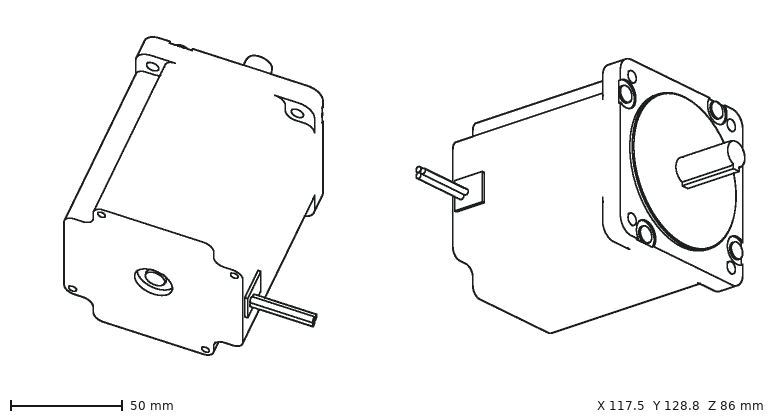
import cadquery as cq
import math


overall_length = 128.8
overall_width = 117.5

side = 86.0
half_side = side / 2
motor_length = 97.1
flange_thickness = 10.3
flange_corner_radius = 7.6
corner_notch = 14.0
notch_radius = 5.0
mount_spacing = 69.5
mount_diameter = 5.8

pilot_diameter = 72.9
pilot_height = 1.9
pilot_chamfer = 0.5
shaft_diameter = 12.7
shaft_length = overall_length - motor_length
shaft_chamfer_length = 1.3
shaft_chamfer_depth = 0.32
key_width = 4.0
key_reach = 7.9

recess_diameter = 18.2
recess_depth = 3.2
shaft_end_diameter = 9.9
shaft_end_chamfer_length = 1.0
shaft_end_chamfer_depth = 0.32
shaft_end_inset = 1.9

screw_near_offset = 25.0
screw_far_offset = 38.9
screw_hole_diameter = 3.6
screw_hole_depth = 3.9
screw_head_diameter = 8.0
screw_pocket_diameter = 13.5
screw_pocket_depth = 0.9

outlet_width = 14.8
outlet_length = 16.1
outlet_thickness = 1.4
outlet_rear_gap = 2.2
cable_end_x = overall_width - half_side
cable_rear_gap = 7.5
wire_diameter = 2.8
wire_pitch = 3.0


def section_at(y):
    """Sketch plane across the motor axis; positive extrusion goes toward the rear (-Y)."""
    return cq.Workplane("XZ", origin=(0, y, 0))


def turned_four_times(x, z):
    """The point and its copies turned by quarter turns about the motor axis."""
    return [(x, z), (-z, x), (-x, -z), (z, -x)]


screw_points = turned_four_times(-screw_near_offset, screw_far_offset)


def make_flange():
    flange = section_at(0).rect(side, side).extrude(flange_thickness)
    flange = flange.edges("|Y").fillet(flange_corner_radius)
    holes = section_at(0).rect(mount_spacing, mount_spacing, forConstruction=True).vertices()
    return flange.cut(holes.circle(mount_diameter / 2).extrude(flange_thickness))


def make_housing():
    """Square housing whose corners are notched to clear the mounting screws."""
    housing_length = motor_length - flange_thickness
    arm_width = side - 2 * corner_notch
    housing = section_at(-flange_thickness).rect(side, arm_width).extrude(housing_length)
    housing = housing.union(section_at(-flange_thickness).rect(arm_width, side).extrude(housing_length))
    return housing.edges("|Y").fillet(notch_radius)


def make_pilot():
    pilot = section_at(0).circle(pilot_diameter / 2).extrude(-pilot_height)
    return pilot.faces(">Y").chamfer(pilot_chamfer)


def make_shaft():
    shaft = section_at(0).circle(shaft_diameter / 2).extrude(-shaft_length)
    shaft = shaft.faces(">Y").edges().chamfer(shaft_chamfer_length, shaft_chamfer_depth)
    key = section_at(0).center(0, -key_reach / 2).rect(key_width, key_reach).extrude(-shaft_length)
    return shaft.union(key)


def make_rear_recess():
    """Ring-shaped cut that leaves the chamfered shaft end standing on the recess floor."""
    floor_y = recess_depth - motor_length
    recess = section_at(floor_y).circle(recess_diameter / 2).extrude(recess_depth)
    shaft_end = section_at(floor_y).circle(shaft_end_diameter / 2).extrude(recess_depth - shaft_end_inset)
    shaft_end = shaft_end.faces("<Y").edges().chamfer(shaft_end_chamfer_length, shaft_end_chamfer_depth)
    return recess.cut(shaft_end)


def make_screw_cuts():
    """Rear screw holes, and front pockets that break through the sides around the screw heads."""
    holes = section_at(screw_hole_depth - motor_length).pushPoints(screw_points)
    holes = holes.circle(screw_hole_diameter / 2).extrude(screw_hole_depth)
    pockets = section_at(0).pushPoints(screw_points)
    pockets = pockets.circle(screw_pocket_diameter / 2).extrude(screw_pocket_depth)
    heads = section_at(0).pushPoints(screw_points)
    heads = heads.circle(screw_head_diameter / 2).extrude(screw_pocket_depth)
    return holes.union(pockets.cut(heads))


def make_cable_outlet():
    outlet_y = -motor_length + outlet_rear_gap + outlet_length / 2
    plate = cq.Workplane("YZ", origin=(half_side, outlet_y, 0))
    plate = plate.rect(outlet_length, outlet_width).extrude(outlet_thickness)
    wire_start = cq.Workplane("YZ", origin=(half_side, cable_rear_gap - motor_length, 0))
    wire_length = cable_end_x - half_side
    column_offset = wire_pitch * math.sqrt(3) / 4
    wire_points = [
        (-column_offset, wire_pitch / 2),
        (-column_offset, -wire_pitch / 2),
        (column_offset, 0),
    ]
    wires = wire_start.pushPoints(wire_points).circle(wire_diameter / 2).extrude(wire_length)
    return plate.union(wires)


motor = make_flange().union(make_housing()).union(make_pilot()).union(make_shaft())
motor = motor.cut(make_rear_recess()).cut(make_screw_cuts())
result = motor.union(make_cable_outlet())